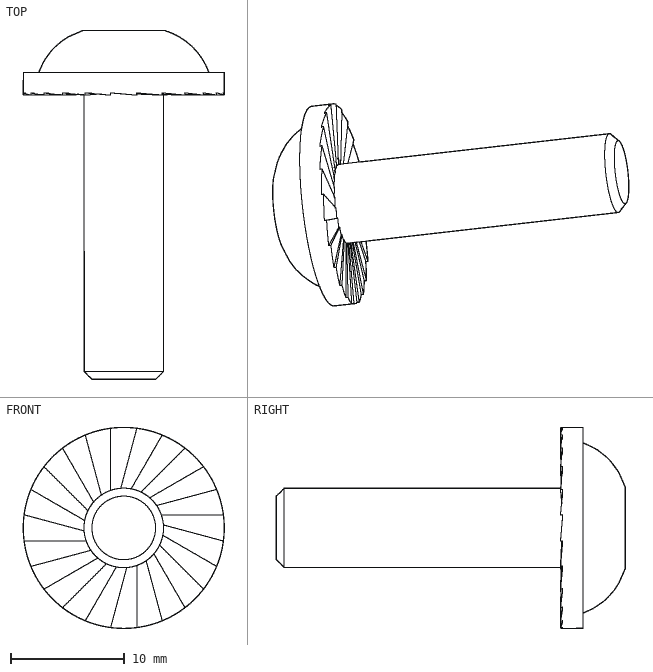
import cadquery as cq
import math

shank_dia = 7.0
shank_length = 25.0
tip_chamfer = 0.7

flange_dia = 17.7
flange_thickness = 2.0

dome_base_dia = 15.0
dome_top_dia = 7.2
dome_height = 3.7
dome_arc_radius = 6.0

tooth_count = 24
tooth_depth = 0.2

shank_radius = shank_dia / 2
flange_radius = flange_dia / 2
dome_base_radius = dome_base_dia / 2
dome_top_radius = dome_top_dia / 2
tooth_pitch = 360 / tooth_count
tooth_half_width = flange_radius * math.sin(math.radians(tooth_pitch / 2))


def turned_body():
    """Dome, flange and chamfered shank as one half profile revolved about Y."""
    dome_top_y = flange_thickness + dome_height
    return (
        cq.Workplane("XY")
        .moveTo(0, -shank_length)
        .lineTo(shank_radius - tip_chamfer, -shank_length)
        .lineTo(shank_radius, -shank_length + tip_chamfer)
        .lineTo(shank_radius, 0)
        .lineTo(flange_radius, 0)
        .lineTo(flange_radius, flange_thickness)
        .lineTo(dome_base_radius, flange_thickness)
        .radiusArc((dome_top_radius, dome_top_y), -dome_arc_radius)
        .lineTo(0, dome_top_y)
        .close()
        .revolve(360, (0, 0, 0), (0, 1, 0))
    )


def tooth_cutter():
    """Wedge running inward from the rim: full depth at its -X wall, rising to nothing at +X."""
    return (
        cq.Workplane("XY")
        .moveTo(-tooth_half_width, 0)
        .lineTo(-tooth_half_width, tooth_depth)
        .lineTo(tooth_half_width, 0)
        .close()
        .extrude(flange_radius)
    )


def serration_cutter():
    """All tooth wedges joined, with the shank left out so that it stays whole."""
    wedge = tooth_cutter()
    cutter = wedge
    for index in range(1, tooth_count):
        cutter = cutter.union(wedge.rotate((0, 0, 0), (0, 1, 0), index * tooth_pitch))
    shank_core = cq.Workplane("XZ").circle(shank_radius).extrude(-flange_thickness)
    return cutter.cut(shank_core)


result = turned_body().cut(serration_cutter())